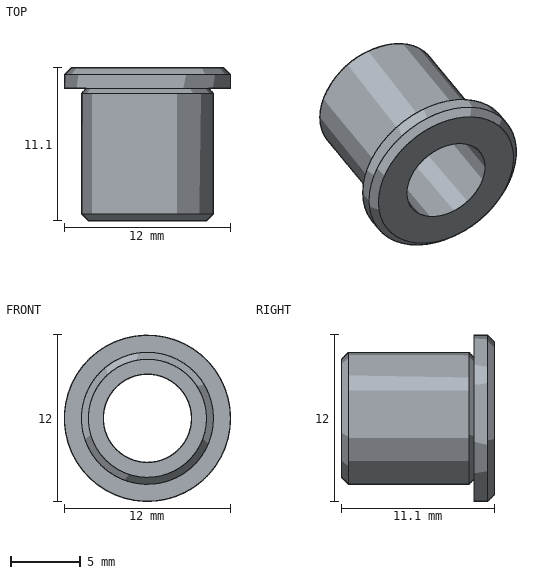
import cadquery as cq

flange_diameter = 12.0
flange_thickness = 1.5
body_diameter = 9.53
bore_diameter = 6.35
overall_length = 11.05
edge_chamfer = 0.5

undercut_width = 0.35
undercut_depth = 0.35

flange_radius = flange_diameter / 2
body_radius = body_diameter / 2
bore_radius = bore_diameter / 2
flange_face = overall_length - flange_thickness

half_section = [
    (bore_radius, 0),
    (body_radius - edge_chamfer, 0),
    (body_radius, edge_chamfer),
    (body_radius, flange_face - undercut_width),
    (body_radius - undercut_depth, flange_face),
    (flange_radius, flange_face),
    (flange_radius, overall_length - edge_chamfer),
    (flange_radius - edge_chamfer, overall_length),
    (bore_radius, overall_length),
]

result = cq.Workplane("XY").polyline(half_section).close().revolve(360, (0, 0, 0), (0, 1, 0))